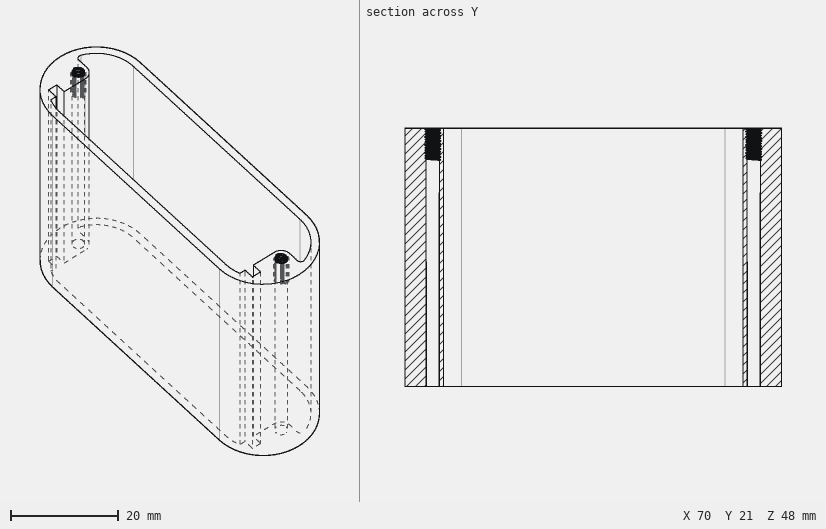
import cadquery as cq
import math

length = 70.0
width = 21.0
height = 48.0
wall = 1.6

boss_radius = 2.0
boss_face_inset = 7.2
screw_diameter = 2.4

thread_pitch = 0.5
thread_turns = 11.5
thread_depth = 0.3
thread_angle = 60.0
thread_end_gap = 0.15
bore_seam_angle = 200.0

pocket_fillet = 0.8

slot_depth = 2.2
slot_width = 1.95
slot_center_y = -6.0

boss_face_x = length / 2 - boss_face_inset
screw_x = boss_face_x + boss_radius
cavity_width = width - 2 * wall
cavity_length = length - 2 * wall


def oval_prism(overall_length, overall_width):
    return cq.Workplane("XY").slot2D(overall_length, overall_width).extrude(height)


def end_boss(side):
    """Solid end of the cavity below the boss top, with a round inner corner."""
    return (
        cq.Workplane("XY")
        .moveTo(side * boss_face_x, -width / 2)
        .lineTo(side * boss_face_x, 0)
        .radiusArc((side * screw_x, boss_radius), side * boss_radius)
        .lineTo(side * length / 2, boss_radius)
        .lineTo(side * length / 2, -width / 2)
        .close()
        .extrude(height)
    )


def inner_opening():
    """Oval cavity less the two bosses, with its sharp upper corners rounded."""
    opening = oval_prism(cavity_length, cavity_width)
    for side in (-1, 1):
        opening = opening.cut(end_boss(side))
    return opening.edges("|Z and (<X or >X)").fillet(pocket_fillet)


def board_slots():
    """Facing grooves in the two bosses."""
    return (
        cq.Workplane("XY")
        .center(0, slot_center_y)
        .rect(2 * (boss_face_x + slot_depth), slot_width)
        .extrude(height)
    )


def thread_groove():
    """Helical V groove about the Z axis, breaking out of the top face at its very end."""
    bore_radius = screw_diameter / 2
    mouth_overlap = 0.1
    half_mouth = (thread_depth + mouth_overlap) * math.tan(math.radians(thread_angle / 2))
    start_z = height - thread_end_gap - thread_turns * thread_pitch
    path = cq.Wire.makeHelix(
        thread_pitch, thread_turns * thread_pitch, bore_radius, cq.Vector(0, 0, start_z)
    )
    return (
        cq.Workplane("XZ")
        .moveTo(bore_radius - mouth_overlap, start_z - half_mouth)
        .lineTo(bore_radius + thread_depth, start_z)
        .lineTo(bore_radius - mouth_overlap, start_z + half_mouth)
        .close()
        .sweep(path, isFrenet=True)
    )


body = oval_prism(length, width).cut(inner_opening()).cut(board_slots())

screw_bore = cq.Workplane("XY").circle(screw_diameter / 2).extrude(height)
screw_bore = screw_bore.rotate((0, 0, 0), (0, 0, 1), bore_seam_angle)
groove = thread_groove()
for side in (-1, 1):
    hole_center = (side * screw_x, 0, 0)
    body = body.cut(screw_bore.translate(hole_center))
    body = body.cut(groove.translate(hole_center))

result = cq.Workplane(body.solids().val())